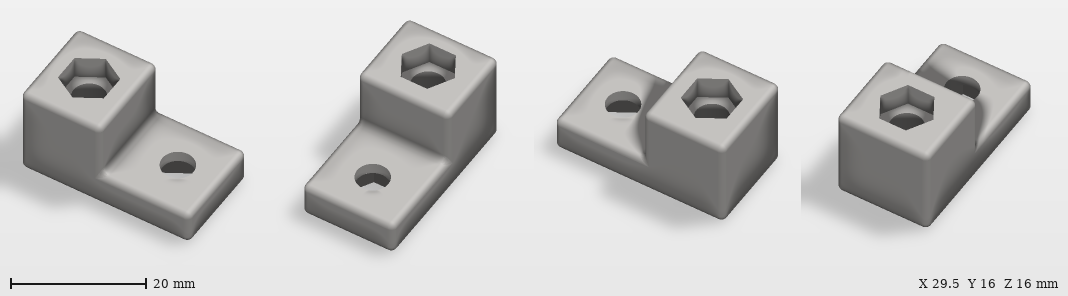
import cadquery as cq

length = 29.5
width = 16.0
height = 16.0

block_length = 14.0
plate_height = 6.0
edge_radius = 1.0
corner_margin = 0.15

hole_diameter = 5.4
block_hole_x = block_length / 2
plate_hole_x = length - block_hole_x
nut_across_corners = 9.23
nut_depth = 4.0


def rounded_body():
    """L-shaped block with its outer edges rounded first, then the inside corner."""
    profile = (
        cq.Workplane("XZ")
        .moveTo(0, 0)
        .lineTo(length, 0)
        .lineTo(length, plate_height)
        .lineTo(block_length, plate_height)
        .lineTo(block_length, height)
        .lineTo(0, height)
        .close()
    )
    sharp = profile.extrude(width / 2, both=True)
    inside_corner = cq.selectors.BoxSelector(
        (block_length - corner_margin, -width, plate_height - corner_margin),
        (block_length + corner_margin, width, plate_height + corner_margin),
    )
    all_edges = cq.selectors.TypeSelector("LINE")
    outside_edges = cq.selectors.SubtractSelector(all_edges, inside_corner)
    outside_rounded = sharp.edges(outside_edges).fillet(edge_radius)
    return outside_rounded.edges(inside_corner).edges("|Y").fillet(edge_radius)


def bolt_holes():
    """Vertical through holes in the block and the plate."""
    centers = [(block_hole_x, 0), (plate_hole_x, 0)]
    return cq.Workplane("XY").pushPoints(centers).circle(hole_diameter / 2).extrude(height)


def hex_pocket(center_x, floor_z):
    """Hexagonal prism with corners pointing along Y, rising from floor_z."""
    return (
        cq.Workplane("XY")
        .polygon(6, nut_across_corners)
        .extrude(nut_depth)
        .rotate((0, 0, 0), (0, 0, 1), 90)
        .translate((center_x, 0, floor_z))
    )


block_pocket = hex_pocket(block_hole_x, height - nut_depth)
plate_pocket = hex_pocket(plate_hole_x, 0)

result = rounded_body().cut(bolt_holes()).cut(block_pocket).cut(plate_pocket)